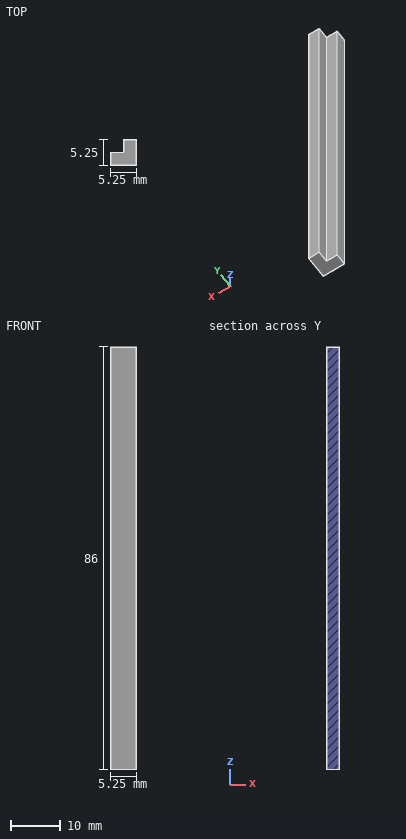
import cadquery as cq

length = 86.0
side = 5.25

notch = side / 2

half_side = side / 2

bar = cq.Workplane("XY").box(side, side, length)

corner_notch = (
    cq.Workplane("XY")
    .box(notch, notch, length)
    .translate((-half_side + notch / 2, half_side - notch / 2, 0))
)

result = bar.cut(corner_notch)